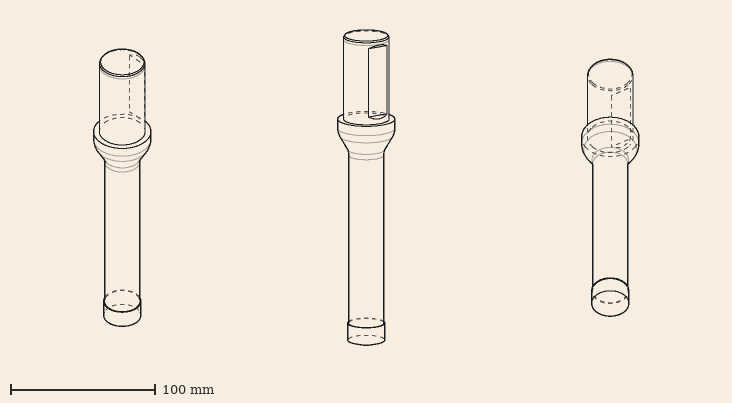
import cadquery as cq
import math

total_length = 223.0
point_height = 4.0
tip_top = 16.3
neck_top = 137.0
cone_bottom = 141.0
collar_bottom = 156.3
collar_top = 163.0

tip_radius = 25.9 / 2
neck_radius = 24.5 / 2
collar_radius = 40.0 / 2
shank_radius = 32.0 / 2

cone_angle = math.radians(30)
shoulder_round = 11.2

end_chamfer_width = 0.7
end_chamfer_height = 1.1
lead_in_width = 0.2
lead_in_height = 1.8
flat_depth = 2.0
flat_bottom = 166.5
flat_top = 219.7


def make_holder():
    """Turned holder: neck, rounded cone, collar and chamfered shank with a flat."""
    round_center = collar_radius - shoulder_round
    round_end = (
        round_center + shoulder_round * math.cos(cone_angle),
        collar_bottom - shoulder_round * math.sin(cone_angle),
    )
    round_middle = (
        round_center + shoulder_round * math.cos(cone_angle / 2),
        collar_bottom - shoulder_round * math.sin(cone_angle / 2),
    )
    cone_end_radius = round_end[0] - (round_end[1] - cone_bottom) * math.tan(cone_angle)

    chamfer_bottom = total_length - end_chamfer_height
    chamfer_radius = shank_radius - lead_in_width

    body = (
        cq.Workplane("XZ")
        .moveTo(0, tip_top)
        .lineTo(neck_radius, tip_top)
        .lineTo(neck_radius, neck_top)
        .tangentArcPoint((cone_end_radius, cone_bottom), relative=False)
        .lineTo(*round_end)
        .threePointArc(round_middle, (collar_radius, collar_bottom))
        .lineTo(collar_radius, collar_top)
        .lineTo(shank_radius, collar_top)
        .lineTo(shank_radius, chamfer_bottom - lead_in_height)
        .lineTo(chamfer_radius, chamfer_bottom)
        .lineTo(chamfer_radius - end_chamfer_width, total_length)
        .lineTo(0, total_length)
        .close()
        .revolve(360, (0, 0, 0), (0, 1, 0))
    )
    return body.cut(make_flat_cutter())


def make_flat_cutter():
    """Block that cuts the +Y flat, with 45 degree ramps at both ends."""
    floor = shank_radius - flat_depth
    return (
        cq.Workplane("YZ")
        .polyline([
            (floor, flat_bottom + flat_depth),
            (shank_radius, flat_bottom),
            (shank_radius, flat_top),
            (floor, flat_top - flat_depth),
        ])
        .close()
        .extrude(shank_radius, both=True)
    )


def make_drill_tip():
    """Cylindrical drill tip with a shallow conical point."""
    return (
        cq.Workplane("XZ")
        .polyline([
            (0, 0),
            (tip_radius, point_height),
            (tip_radius, tip_top),
            (0, tip_top),
        ])
        .close()
        .revolve(360, (0, 0, 0), (0, 1, 0))
    )


holder = make_holder()
drill_tip = make_drill_tip()

result = cq.Compound.makeCompound([holder.val(), drill_tip.val()])